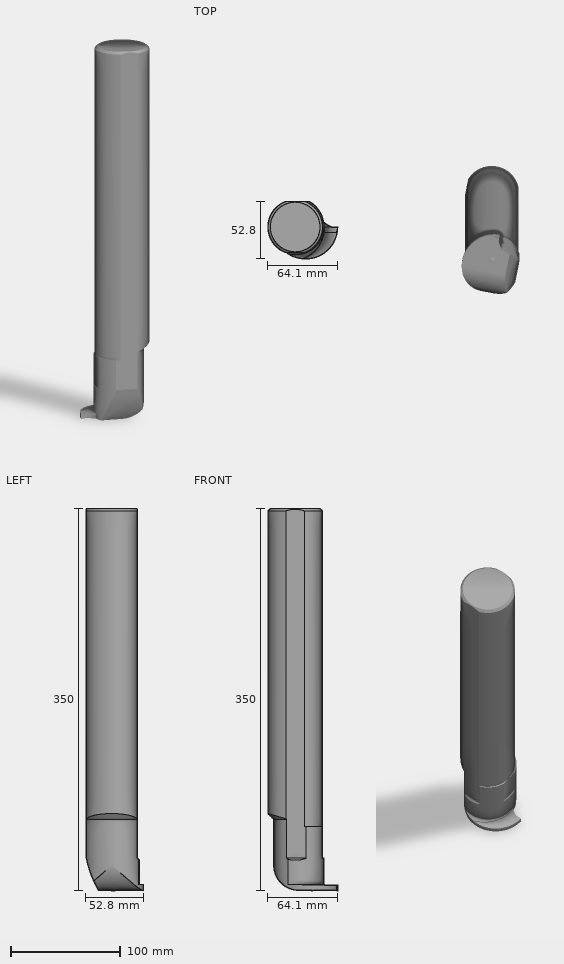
import cadquery as cq
import math

total_length = 350.0
shank_radius = 25.0
shank_flat = 23.5
end_chamfer = 2.3

neck_radius = 26.0
neck_offset = 0.3
neck_rise = 0.6
neck_top = 59.0
neck_full_top = 30.0
relief_height = 65.5
relief_flare = 20.0
heel_radius = 23.0
back_slope = ((23.5, 31.0), (17.0, 10.0), (11.8, 0.0))

blade_radius = 29.29
blade_offset = 9.6
blade_bottom = 0.5
blade_top = 5.2
pad_top = 6.0
pad_radius = 31.0
pad_offset = -4.0
jaw_root = (23.0, 8.0)
jaw_middle = (28.5, 2.6)
jaw_tip = (33.0, 0.3)

tip_reach = 39.1
insert_length = 24.1
insert_height = 5.0
insert_relief = 1.4
head_length = 3.0

clear_of_part = 100.0


def cylinder(radius, offset, bottom, top):
    return cq.Workplane("XY", origin=(offset, 0, bottom)).circle(radius).extrude(top - bottom)


def block(x_min, x_max, y_min, y_max, z_min, z_max):
    return cq.Workplane("XY").box(
        x_max - x_min, y_max - y_min, z_max - z_min, centered=False
    ).translate((x_min, y_min, z_min))


def make_shank():
    shank = cylinder(shank_radius, 0, blade_bottom, total_length).faces(">Z").chamfer(end_chamfer)
    flats = block(-clear_of_part, clear_of_part, -shank_flat, shank_flat, 0, total_length)
    return shank.intersect(flats)


def make_neck():
    neck = cylinder(neck_radius, neck_offset, blade_bottom, neck_top).translate((0, neck_rise, 0))
    bulge = neck_radius - neck_rise - shank_flat
    front_trim = (
        cq.Workplane("YZ", origin=(-clear_of_part, 0, 0))
        .polyline([
            (-shank_flat, neck_top),
            (-shank_flat, neck_full_top),
            (-shank_flat - 2 * bulge, neck_full_top - 2 * bulge),
            (-shank_flat - 2 * bulge, neck_top),
        ])
        .close()
        .extrude(2 * clear_of_part)
    )
    side_trim = block(shank_radius, clear_of_part, -clear_of_part, clear_of_part, neck_full_top, neck_top)
    back_trim = block(-clear_of_part, clear_of_part, shank_flat, clear_of_part, 0, neck_top)
    return neck.cut(front_trim).cut(side_trim).cut(back_trim)


def make_blade():
    blade = cylinder(blade_radius, blade_offset, blade_bottom, blade_top)
    behind = (
        cq.Workplane("XY")
        .moveTo(clear_of_part, 0)
        .lineTo(jaw_tip[0], 0)
        .lineTo(*jaw_tip)
        .threePointArc(jaw_middle, jaw_root)
        .lineTo(-clear_of_part, jaw_root[1])
        .lineTo(-clear_of_part, clear_of_part)
        .lineTo(clear_of_part, clear_of_part)
        .close()
        .extrude(blade_top)
    )
    pad = cylinder(pad_radius, pad_offset, blade_top, pad_top)
    pad = pad.intersect(cylinder(blade_radius, blade_offset, blade_top, pad_top))
    pad = pad.intersect(block(-clear_of_part, clear_of_part, -clear_of_part, 0, blade_top, pad_top))
    return blade.cut(behind).union(pad)


def make_relief():
    return (
        cq.Workplane("XZ", origin=(blade_offset, 0, 0))
        .polyline([
            (0, 0),
            (blade_radius, 0),
            (blade_radius, relief_height),
            (blade_radius + relief_flare, relief_height + relief_flare),
            (blade_radius + relief_flare, total_length),
            (0, total_length),
        ])
        .close()
        .revolve(360, (0, 0, 0), (0, 1, 0))
    )


def make_heel_cut():
    left = blade_offset - blade_radius
    arc_inset = heel_radius * (1 - math.sqrt(0.5))
    return (
        cq.Workplane("XZ", origin=(0, clear_of_part, 0))
        .moveTo(left, blade_bottom)
        .lineTo(left, blade_bottom + heel_radius)
        .threePointArc(
            (left + arc_inset, blade_bottom + arc_inset),
            (left + heel_radius, blade_bottom),
        )
        .close()
        .extrude(2 * clear_of_part)
    )


def make_back_cut():
    start, middle, end = back_slope
    return (
        cq.Workplane("YZ", origin=(-clear_of_part, 0, 0))
        .moveTo(*start)
        .threePointArc(middle, end)
        .lineTo(clear_of_part, end[1])
        .lineTo(clear_of_part, start[1])
        .close()
        .extrude(2 * clear_of_part)
    )


def make_insert():
    back = tip_reach - insert_length
    plan = (
        cq.Workplane("XY")
        .polyline([
            (back, 0),
            (tip_reach, 0),
            (tip_reach - insert_relief, -insert_height),
            (back + insert_relief, -insert_height),
        ])
        .close()
        .extrude(blade_top)
    )
    waist = (
        cq.Workplane("XZ")
        .polyline([
            (back, 0),
            (back + head_length, blade_bottom),
            (tip_reach - head_length, blade_bottom),
            (tip_reach, 0),
            (tip_reach, blade_top),
            (back, blade_top),
        ])
        .close()
        .extrude(insert_height)
    )
    return plan.intersect(waist)


insert = make_insert()
bar = (
    make_shank()
    .union(make_neck())
    .union(make_blade())
    .intersect(make_relief())
    .cut(make_heel_cut())
    .cut(make_back_cut())
    .cut(insert)
)

result = cq.Compound.makeCompound([bar.val(), insert.val()])